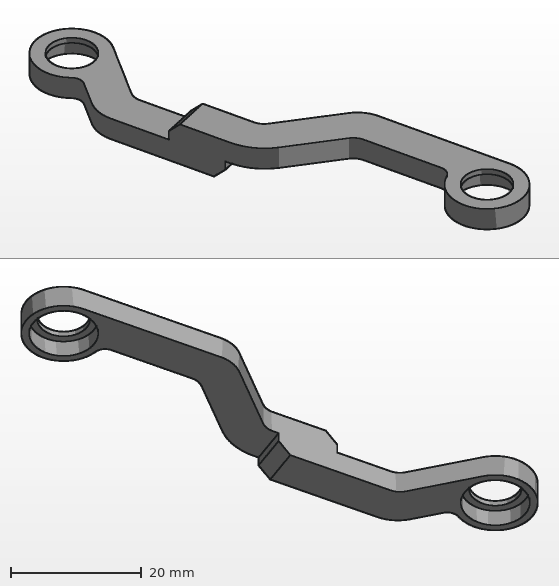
import cadquery as cq
import math

overall_length = 88.0
overall_height = 7.5
eye_radius = 6.5
hole_diameter = 8.1
recess_diameter = 10.6
lip_thickness = 1.0
layer_thickness = 3.9
arm_width = eye_radius
arm_bottom_y = -11.5
right_slope_offset = 42.2
upper_start_x = 24.7
lower_end_x = 34.9
step_chamfer = 2.0

inner_bend_radius = 3.0
left_outer_bend_radius = 6.6
right_outer_bend_radius = 9.9
top_bend_radius = 6.0
neck_radius = 2.0

eye_spacing = overall_length - 2 * eye_radius
arm_top_y = arm_bottom_y + arm_width
diagonal_width = arm_width * math.sqrt(2)
tangent_point = eye_radius / math.sqrt(2)

left_inner = (diagonal_width - arm_top_y, arm_top_y)
right_inner = (right_slope_offset + arm_top_y, arm_top_y)
top_outer = (right_slope_offset + arm_width, arm_width)
top_inner = (right_slope_offset + diagonal_width, 0)
right_outer = (right_slope_offset + diagonal_width + arm_bottom_y, arm_bottom_y)
left_outer = (-arm_bottom_y, arm_bottom_y)

left_neck = (tangent_point, -tangent_point)
right_neck = (eye_spacing - eye_radius, 0)


def round_corner(body, corner, radius):
    """Fillet the vertical edge that stands on the given corner."""
    edge = cq.selectors.NearestToPointSelector((corner[0], corner[1], overall_height / 2))
    return body.edges("|Z").edges(edge).fillet(radius)


def make_plan_body():
    """Full-height arm and eyes with rounded bends and necks."""
    body = (
        cq.Workplane("XY")
        .moveTo(0, 0)
        .lineTo(tangent_point, tangent_point)
        .lineTo(*left_inner)
        .lineTo(*right_inner)
        .lineTo(*top_outer)
        .lineTo(eye_spacing, arm_width)
        .lineTo(eye_spacing, 0)
        .lineTo(*top_inner)
        .lineTo(*right_outer)
        .lineTo(*left_outer)
        .close()
        .extrude(overall_height)
    )
    eyes = (
        cq.Workplane("XY")
        .pushPoints([(0, 0), (eye_spacing, 0)])
        .circle(eye_radius)
        .extrude(overall_height)
    )
    body = body.union(eyes)
    for corner, radius in (
        (left_inner, inner_bend_radius),
        (right_inner, inner_bend_radius),
        (top_inner, inner_bend_radius),
        (top_outer, top_bend_radius),
        (left_outer, left_outer_bend_radius),
        (right_outer, right_outer_bend_radius),
        (left_neck, neck_radius),
        (right_neck, neck_radius),
    ):
        body = round_corner(body, corner, radius)
    return body


def make_step_profile():
    """Side profile: a low left level and a high right level that overlap."""
    left_x = -eye_radius
    right_x = eye_spacing + eye_radius
    upper_bottom_z = overall_height - layer_thickness
    return (
        cq.Workplane("XZ")
        .moveTo(left_x, 0)
        .lineTo(lower_end_x - step_chamfer, 0)
        .lineTo(lower_end_x, step_chamfer)
        .lineTo(lower_end_x, upper_bottom_z)
        .lineTo(right_x, upper_bottom_z)
        .lineTo(right_x, overall_height)
        .lineTo(upper_start_x + step_chamfer, overall_height)
        .lineTo(upper_start_x, overall_height - step_chamfer)
        .lineTo(upper_start_x, layer_thickness)
        .lineTo(left_x, layer_thickness)
        .close()
        .extrude(overall_length, both=True)
    )


def make_eye_bore(center_x, top_z):
    """Through hole with a wider recess from below, leaving a thin lip at the top."""
    hole = cq.Workplane("XY").center(center_x, 0).circle(hole_diameter / 2).extrude(top_z)
    recess = (
        cq.Workplane("XY")
        .center(center_x, 0)
        .circle(recess_diameter / 2)
        .extrude(top_z - lip_thickness)
    )
    return hole.union(recess)


result = make_plan_body().intersect(make_step_profile())
for center_x, top_z in ((0, layer_thickness), (eye_spacing, overall_height)):
    result = result.cut(make_eye_bore(center_x, top_z))